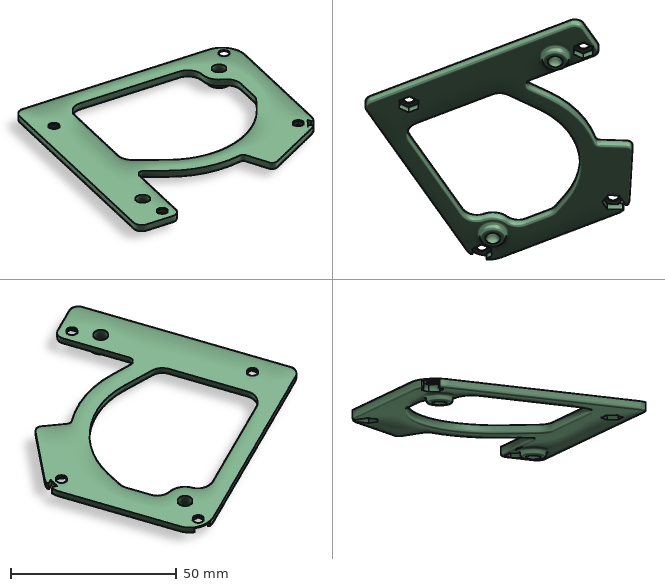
import cadquery as cq
import math

width = 74.0
depth = 76.0
plate_thickness = 2.75
overall_height = 5.0
bottom_edge_radius = 0.9

rim_center = (23.0, 40.0)
rim_inner_radius = 27.0
rim_width = 6.0
rim_outer_radius = rim_inner_radius + rim_width
lower_rim_angle = -30.0
upper_rim_angle = 60.0
tab_angle = 30.0
tab_reach = 42.7
tab_drop = 9.5

strip_height = 14.7
left_arm_width = 6.0
top_arm_width = 9.2
window_radius = 5.0

top_left_radius = 8.0
tab_top_radius = 7.0
tab_tip_radius = 2.0
tab_root_radius = 1.5
strip_root_radius = 1.8
strip_end_radius = 2.5
bottom_corner_radius = 3.0

boss_diameter = 8.0
boss_bore_diameter = 4.5
boss_height = overall_height - plate_thickness
boss_rim_radius = 1.0
boss_flare_radius = boss_height - boss_rim_radius
boss_wall_radius = boss_diameter / 2 + boss_flare_radius + bottom_edge_radius
upper_boss = (10.6, 65.4)
lower_boss = (61.2, 9.05)

screw_hole_diameter = 3.4
nut_across_flats = 5.7
nut_apothem = nut_across_flats / 2
nut_corner_radius = nut_apothem / math.cos(math.radians(30))
nut_skin = 0.5
corner_hole = (4.0, depth - 5.0)
tab_hole = (48.75, 70.8)
strip_left_hole = (12.8, 6.3)
strip_right_hole = (width - 4.1, strip_height - 3.9)
corner_nut_angle = math.degrees(
    math.atan2(corner_hole[1] - (depth - top_left_radius), corner_hole[0] - top_left_radius)
)
tab_nut_angle = 60.0
strip_nut_angle = 30.0
corner_throat = 1.7
tab_throat = 4.0
mouth_reach = 6.5


def offset_point(origin, angle, along, across=0.0):
    """Point at a distance along a direction and across it (to its left)."""
    cos_a = math.cos(math.radians(angle))
    sin_a = math.sin(math.radians(angle))
    return (
        origin[0] + along * cos_a - across * sin_a,
        origin[1] + along * sin_a + across * cos_a,
    )


def point_at_height(origin, angle, y):
    """Where the line through origin at the given angle reaches a height y."""
    return (origin[0] + (y - origin[1]) / math.tan(math.radians(angle)), y)


def round_corner(body, corner, radius):
    """Round the upright edge that stands nearest to a corner of the outline."""
    middle = (corner[0], corner[1], -plate_thickness / 2)
    return body.edges("|Z").edges(cq.NearestToPointSelector(middle)).fillet(radius)


def plate_blank():
    lower_tangent = offset_point(rim_center, lower_rim_angle, rim_outer_radius)
    strip_root = point_at_height(lower_tangent, lower_rim_angle + 90, strip_height)
    root_along = math.sqrt(rim_outer_radius**2 - tab_drop**2)
    tab_root = offset_point(rim_center, tab_angle, root_along, -tab_drop)
    tab_tip = offset_point(rim_center, tab_angle, tab_reach, -tab_drop)
    tab_top = point_at_height(tab_tip, tab_angle + 90, depth)
    corner_radii = [
        ((0, 0), bottom_corner_radius),
        ((width, 0), bottom_corner_radius),
        ((width, strip_height), strip_end_radius),
        (strip_root, strip_root_radius),
        (tab_root, tab_root_radius),
        (tab_tip, tab_tip_radius),
        (tab_top, tab_top_radius),
        ((0, depth), top_left_radius),
    ]
    blank = (
        cq.Workplane("XY")
        .lineTo(width, 0)
        .lineTo(width, strip_height)
        .lineTo(*strip_root)
        .lineTo(*lower_tangent)
        .threePointArc(offset_point(rim_center, 0, rim_outer_radius), tab_root)
        .lineTo(*tab_tip)
        .lineTo(*tab_top)
        .lineTo(0, depth)
        .close()
        .extrude(-plate_thickness)
    )
    for corner, radius in corner_radii:
        blank = round_corner(blank, corner, radius)
    return blank


def window():
    top = depth - top_arm_width
    lower_tangent = offset_point(rim_center, lower_rim_angle, rim_inner_radius)
    upper_tangent = offset_point(rim_center, upper_rim_angle, rim_inner_radius)
    bottom_right = point_at_height(lower_tangent, lower_rim_angle + 90, strip_height)
    top_right = point_at_height(upper_tangent, upper_rim_angle + 90, top)
    boss_wall = cq.Workplane("XY").center(*upper_boss).circle(boss_wall_radius).extrude(-plate_thickness)
    opening = (
        cq.Workplane("XY")
        .moveTo(left_arm_width, strip_height)
        .lineTo(*bottom_right)
        .lineTo(*lower_tangent)
        .threePointArc(offset_point(rim_center, 0, rim_inner_radius), upper_tangent)
        .lineTo(*top_right)
        .lineTo(left_arm_width, top)
        .close()
        .extrude(-plate_thickness)
        .cut(boss_wall)
    )
    side_gap = upper_boss[0] - left_arm_width
    top_gap = top - upper_boss[1]
    bite_low = (left_arm_width, upper_boss[1] - math.sqrt(boss_wall_radius**2 - side_gap**2))
    bite_high = (upper_boss[0] + math.sqrt(boss_wall_radius**2 - top_gap**2), top)
    for corner in [(left_arm_width, strip_height), bottom_right, top_right, bite_high, bite_low]:
        opening = round_corner(opening, corner, window_radius)
    return opening


def boss(center):
    """Round boss with a flared root and a rounded rim, as a revolved profile."""
    radius = boss_diameter / 2
    root_radius = radius + boss_flare_radius
    end_radius = radius - boss_rim_radius
    root_z = -plate_thickness
    middle_z = root_z - boss_flare_radius
    diagonal = math.cos(math.radians(45))
    flare_middle = (root_radius - boss_flare_radius * diagonal, middle_z + boss_flare_radius * diagonal)
    rim_middle = (end_radius + boss_rim_radius * diagonal, middle_z - boss_rim_radius * diagonal)
    profile = (
        cq.Workplane("XZ")
        .moveTo(0, root_z)
        .lineTo(root_radius, root_z)
        .threePointArc(flare_middle, (radius, middle_z))
        .threePointArc(rim_middle, (end_radius, -overall_height))
        .lineTo(0, -overall_height)
        .close()
    )
    return profile.revolve(360, (0, 0), (0, 1)).translate((center[0], center[1], 0))


def through_hole(center, diameter):
    return cq.Workplane("XY").center(*center).circle(diameter / 2).extrude(-overall_height)


def nut_pocket(center, flat_angle):
    """Hexagonal pocket with one flat square to the given direction."""
    corners = [offset_point(center, flat_angle + 30 + 60 * i, nut_corner_radius) for i in range(6)]
    return cq.Workplane("XY", origin=(0, 0, -nut_skin)).polyline(corners).close().extrude(-overall_height)


def nut_mouth(center, angle, start, throat, ceiling):
    """Opening that carries on the hexagon's sides down to a throat and then flares outward."""
    slope = math.tan(math.radians(30))
    start_half = nut_corner_radius - start * slope
    throat_half = nut_corner_radius - throat * slope
    mouth_half = throat_half + (mouth_reach - throat) * slope
    side = [(start, start_half), (throat, throat_half), (mouth_reach, mouth_half)]
    mirrored = [(along, -half) for along, half in reversed(side)]
    corners = [offset_point(center, angle, along, half) for along, half in side + mirrored]
    return cq.Workplane("XY", origin=(0, 0, ceiling)).polyline(corners).close().extrude(-overall_height)


result = plate_blank().cut(window())
result = result.faces("<Z").edges().fillet(bottom_edge_radius)

for boss_center in (upper_boss, lower_boss):
    result = result.union(boss(boss_center))
    result = result.cut(through_hole(boss_center, boss_bore_diameter))

nut_places = [
    (corner_hole, corner_nut_angle),
    (tab_hole, tab_nut_angle),
    (strip_left_hole, strip_nut_angle),
    (strip_right_hole, strip_nut_angle),
]
for hole_center, nut_angle in nut_places:
    result = result.cut(through_hole(hole_center, screw_hole_diameter))
    result = result.cut(nut_pocket(hole_center, nut_angle))

result = result.cut(nut_mouth(corner_hole, corner_nut_angle, 0.0, corner_throat, -nut_skin))
result = result.cut(nut_mouth(tab_hole, tab_nut_angle, nut_apothem, tab_throat, 0.0))